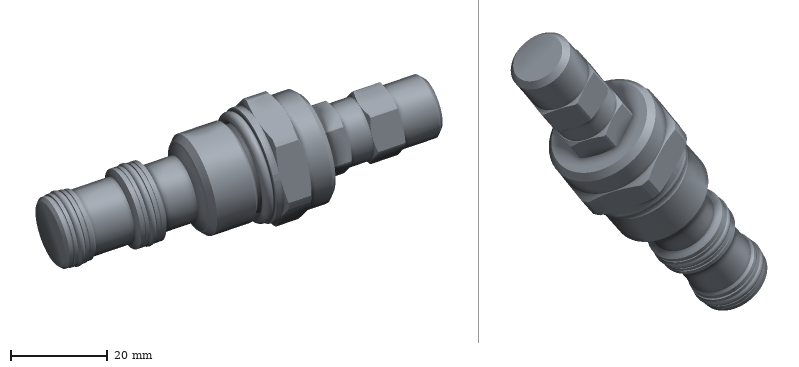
import cadquery as cq
import math


OVERALL_LENGTH = 87.4

TIP_SEAL_Y = 3.6
MIDDLE_SEAL_Y = 19.6
SHOULDER_START_Y = 30.4
SHOULDER_STEP_Y = 31.7
BARREL_START_Y = 33.0
BARREL_END_Y = 41.95
GLAND_START_Y = 43.1
COLLAR_START_Y = 46.0
COLLAR_END_Y = 47.55
HEX_END_Y = 54.1
BODY_END_Y = 60.2
NUT_END_Y = 65.9
ADJUSTER_HEX_START_Y = 71.0
ADJUSTER_HEX_END_Y = 78.05

STEM_RADIUS = 7.3
LAND_HALF_LENGTH = 2.9
SMALL_RING_SECTION_RADIUS = 0.9
BACKUP_THICKNESS = 0.8
RELIEF_DEPTH = 0.3
TIP_LAND_RADIUS = 7.9
TIP_BACKUP_RADIUS = 8.0
TIP_RING_RADIUS = 8.3
TIP_FLANK = 0.5
TIP_RELIEF_WIDTH = 0.35
TIP_CHAMFER = TIP_SEAL_Y - LAND_HALF_LENGTH
MIDDLE_LAND_RADIUS = 8.8
MIDDLE_RING_RADIUS = 9.1
MIDDLE_FLANK = 0.8
MIDDLE_RELIEF_WIDTH = 0.3

SHOULDER_RADIUS = 9.4
BARREL_RADIUS = 11.2
BARREL_CHAMFER = BARREL_START_Y - SHOULDER_STEP_Y
LARGE_RING_RADIUS = 12.2
LARGE_RING_SECTION_RADIUS = 1.2
LARGE_RING_Y = COLLAR_START_Y - LARGE_RING_SECTION_RADIUS
GLAND_RADIUS = LARGE_RING_RADIUS - 2 * LARGE_RING_SECTION_RADIUS

HEX_CHAMFER_SLOPE = math.tan(math.radians(30))
HALF_HEX_ANGLE = 30
CAP_RADIUS = 25.1 / 2
HEX_FLATS = 25.35
HEX_CORNER_RADIUS = 28.2 / 2
HEX_UPPER_CHAMFER = (HEX_CORNER_RADIUS - CAP_RADIUS) * HEX_CHAMFER_SLOPE
HEX_LOWER_CHAMFER = 0.5
COLLAR_STANDOFF = 0.02
COLLAR_RADIUS = HEX_FLATS / 2 + COLLAR_STANDOFF
CAP_CHAMFER = 1.3

SMALL_HEX_FLATS = 14.25
SMALL_HEX_CORNER_RADIUS = 16.2 / 2
SMALL_HEX_CHAMFER = (SMALL_HEX_CORNER_RADIUS - SMALL_HEX_FLATS / 2) * HEX_CHAMFER_SLOPE
ADJUSTER_RADIUS = 7.0
ADJUSTER_CHAMFER = 1.2
ADJUSTER_HEX_TOP_CHAMFER = 0.3


def turned(outline):
    """Solid of revolution about Y from (radius, y) corners."""
    return cq.Workplane("XY").polyline(outline).close().revolve(360, (0, 0), (0, 1))


def cylinder(radius, start_y, end_y):
    """Solid cylinder about Y."""
    return turned([(0, start_y), (radius, start_y), (radius, end_y), (0, end_y)])


def band(inner_radius, outer_radius, middle_y, half_width):
    """Ring of rectangular section about Y."""
    return turned([
        (inner_radius, middle_y - half_width),
        (outer_radius, middle_y - half_width),
        (outer_radius, middle_y + half_width),
        (inner_radius, middle_y + half_width),
    ])


def hex_prism(flats, start_y, end_y):
    """Hexagonal bar along Y, with two flats facing +Z and -Z."""
    return (
        cq.Workplane("XZ", origin=(0, start_y, 0))
        .polygon(6, flats, circumscribed=True)
        .extrude(start_y - end_y)
        .rotate((0, 0, 0), (0, 1, 0), HALF_HEX_ANGLE)
    )


def o_ring(outer_radius, section_radius, middle_y):
    """O-ring of round section."""
    middle_radius = outer_radius - section_radius
    return (
        cq.Workplane("XY")
        .center(middle_radius, middle_y)
        .circle(section_radius)
        .revolve(360, (-middle_radius, 0), (-middle_radius, 1))
    )


def seal_seat(land, ring_radius, land_radius, backup_radius, middle_y, relief_width):
    """Works an O-ring groove between two backup collars, each set off by a shallow relief, into a land."""
    backup_end = SMALL_RING_SECTION_RADIUS + BACKUP_THICKNESS
    seat_half_width = backup_end + relief_width
    relief_radius = land_radius - RELIEF_DEPTH
    groove_radius = ring_radius - 2 * SMALL_RING_SECTION_RADIUS
    relieved = land.cut(band(relief_radius, ring_radius, middle_y, seat_half_width))
    collared = relieved.union(band(groove_radius, backup_radius, middle_y, backup_end))
    return collared.cut(band(groove_radius, ring_radius, middle_y, SMALL_RING_SECTION_RADIUS))


def make_stem():
    """Lower stem with its tip land and middle land, grooved for the small O-rings."""
    tip_land_end = TIP_SEAL_Y + LAND_HALF_LENGTH
    middle_land_start = MIDDLE_SEAL_Y - LAND_HALF_LENGTH
    middle_land_end = MIDDLE_SEAL_Y + LAND_HALF_LENGTH
    stem = turned([
        (0, 0),
        (TIP_LAND_RADIUS - TIP_CHAMFER, 0),
        (TIP_LAND_RADIUS, TIP_CHAMFER),
        (TIP_LAND_RADIUS, tip_land_end),
        (STEM_RADIUS, tip_land_end + TIP_FLANK),
        (STEM_RADIUS, middle_land_start - MIDDLE_FLANK),
        (MIDDLE_LAND_RADIUS, middle_land_start),
        (MIDDLE_LAND_RADIUS, middle_land_end),
        (STEM_RADIUS, middle_land_end + MIDDLE_FLANK),
        (STEM_RADIUS, SHOULDER_START_Y),
        (0, SHOULDER_START_Y),
    ])
    stem = seal_seat(
        stem, TIP_RING_RADIUS, TIP_LAND_RADIUS, TIP_BACKUP_RADIUS, TIP_SEAL_Y, TIP_RELIEF_WIDTH
    )
    return seal_seat(
        stem, MIDDLE_RING_RADIUS, MIDDLE_LAND_RADIUS, MIDDLE_LAND_RADIUS, MIDDLE_SEAL_Y,
        MIDDLE_RELIEF_WIDTH
    )


def make_barrel():
    """Stepped shoulder, barrel and the gland under the large O-ring."""
    return turned([
        (0, SHOULDER_START_Y),
        (STEM_RADIUS, SHOULDER_START_Y),
        (SHOULDER_RADIUS, SHOULDER_STEP_Y),
        (BARREL_RADIUS - BARREL_CHAMFER, SHOULDER_STEP_Y),
        (BARREL_RADIUS, BARREL_START_Y),
        (BARREL_RADIUS, BARREL_END_Y),
        (GLAND_RADIUS, GLAND_START_Y),
        (GLAND_RADIUS, COLLAR_START_Y),
        (0, COLLAR_START_Y),
    ])


def make_body_hex():
    """Chamfered hexagon with a round collar below that just breaks through the flats."""
    blank = turned([
        (0, COLLAR_START_Y),
        (COLLAR_RADIUS, COLLAR_START_Y),
        (COLLAR_RADIUS, COLLAR_END_Y),
        (HEX_CORNER_RADIUS, COLLAR_END_Y + HEX_LOWER_CHAMFER),
        (HEX_CORNER_RADIUS, HEX_END_Y - HEX_UPPER_CHAMFER),
        (CAP_RADIUS, HEX_END_Y),
        (0, HEX_END_Y),
    ])
    return blank.intersect(hex_prism(HEX_FLATS, COLLAR_START_Y, HEX_END_Y))


def make_body():
    """Stem, barrel, hexagon and cap in one solid."""
    cap = cylinder(CAP_RADIUS, HEX_END_Y, BODY_END_Y)
    cap = cap.faces(">Y").edges().chamfer(CAP_CHAMFER)
    return make_stem().union(make_barrel()).union(make_body_hex()).union(cap)


def small_hex(start_y, end_y, upper_chamfer, lower_chamfer):
    """Hexagon of the nut and the adjuster, chamfered at both ends."""
    flat_radius = SMALL_HEX_FLATS / 2
    blank = turned([
        (0, start_y),
        (flat_radius, start_y),
        (SMALL_HEX_CORNER_RADIUS, start_y + lower_chamfer),
        (SMALL_HEX_CORNER_RADIUS, end_y - upper_chamfer),
        (flat_radius, end_y),
        (0, end_y),
    ])
    return blank.intersect(hex_prism(SMALL_HEX_FLATS, start_y, end_y))


def make_lock_nut():
    """Hexagonal nut seated on the cap."""
    return small_hex(BODY_END_Y, NUT_END_Y, SMALL_HEX_CHAMFER, SMALL_HEX_CHAMFER)


def make_adjuster():
    """Round adjuster with its own hexagon, standing on the lock nut."""
    barrel = cylinder(ADJUSTER_RADIUS, NUT_END_Y, OVERALL_LENGTH)
    barrel = barrel.faces(">Y").edges().chamfer(ADJUSTER_CHAMFER)
    hexagon = small_hex(
        ADJUSTER_HEX_START_Y, ADJUSTER_HEX_END_Y, ADJUSTER_HEX_TOP_CHAMFER, SMALL_HEX_CHAMFER
    )
    return barrel.union(hexagon)


body = make_body()
lock_nut = make_lock_nut()
adjuster = make_adjuster()

RING_SIZES = [
    (TIP_RING_RADIUS, SMALL_RING_SECTION_RADIUS, TIP_SEAL_Y),
    (MIDDLE_RING_RADIUS, SMALL_RING_SECTION_RADIUS, MIDDLE_SEAL_Y),
    (LARGE_RING_RADIUS, LARGE_RING_SECTION_RADIUS, LARGE_RING_Y),
]
o_rings = [o_ring(*sizes).val() for sizes in RING_SIZES]

result = cq.Compound.makeCompound([body.val(), lock_nut.val(), adjuster.val(), *o_rings])